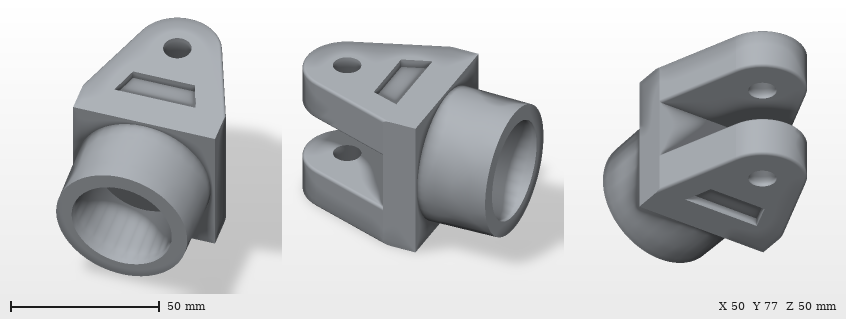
import cadquery as cq
import math

side = 50.0
length = 77.0
half_side = side / 2

spigot_length = 24.95
spigot_mouth_radius = 23.1
spigot_root_radius = 23.5
bore_mouth_radius = 17.6
bore_floor_radius = 16.5
bore_depth = spigot_length

block_end = 37.0
fork_gap = 21.0
lug_thickness = (side - fork_gap) / 2
lug_tip_radius = 15.0
lug_edge_fillet = 1.0
pin_radius = 4.8
pin_y = length - lug_tip_radius

pocket_depth = 3.0
pocket_height = 10.0
pocket_base_half = 14.3
pocket_top_half = 10.85


def cone_along_y(start_radius, end_radius, height):
    """Solid cone frustum on the Y axis, starting at Y = 0."""
    return (
        cq.Workplane("YZ")
        .polyline([(0, 0), (0, start_radius), (height, end_radius), (height, 0)])
        .close()
        .revolve(360, (0, 0, 0), (1, 0, 0))
    )


def make_lug():
    """Upper lug: flanks run from the block corners tangent to the round tip."""
    rise = pin_y - block_end
    corner_distance = math.hypot(half_side, rise)
    tangent_angle = math.acos(lug_tip_radius / corner_distance) - math.atan2(rise, half_side)
    tangent_x = lug_tip_radius * math.cos(tangent_angle)
    tangent_y = pin_y + lug_tip_radius * math.sin(tangent_angle)
    return (
        cq.Workplane("XY", origin=(0, 0, fork_gap / 2))
        .moveTo(-half_side, block_end)
        .lineTo(-tangent_x, tangent_y)
        .threePointArc((0, length), (tangent_x, tangent_y))
        .lineTo(half_side, block_end)
        .close()
        .extrude(lug_thickness)
    )


def make_pocket():
    return (
        cq.Workplane("XY", origin=(0, 0, half_side - pocket_depth))
        .polyline([
            (-pocket_base_half, block_end),
            (pocket_base_half, block_end),
            (pocket_top_half, block_end + pocket_height),
            (-pocket_top_half, block_end + pocket_height),
        ])
        .close()
        .extrude(pocket_depth)
    )


block = (
    cq.Workplane("XY")
    .box(side, block_end - spigot_length, side, centered=(True, False, True))
    .translate((0, spigot_length, 0))
)
spigot = cone_along_y(spigot_mouth_radius, spigot_root_radius, spigot_length)
bore = cone_along_y(bore_mouth_radius, bore_floor_radius, bore_depth)
pin_hole = cq.Workplane("XY").center(0, pin_y).circle(pin_radius).extrude(half_side, both=True)

lug = make_lug()
pocket = make_pocket()
fork = block.union(lug).union(lug.mirror("XY"))

beyond_block = cq.selectors.BoxSelector(
    (-side, block_end + lug_edge_fillet, -side),
    (side, length + side, side),
)
fork = fork.faces("|Z").edges(beyond_block).fillet(lug_edge_fillet)

result = fork.union(spigot).cut(bore).cut(pin_hole).cut(pocket).cut(pocket.mirror("XY"))